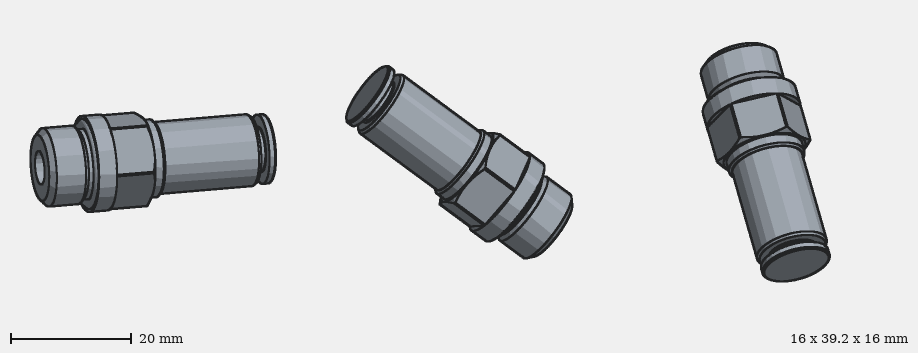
import cadquery as cq
import math


thread_radius = 6.55
bore_radius = 2.8
flange_radius = 8.0
collar_radius = 6.5
body_radius = 6.0
neck_radius = 3.65
lip_radius = 4.1
release_radius = 5.78

thread_end = 6.05
flange_start = 7.9
hex_start = 11.0
hex_end = 17.95
collar_end = 19.9
body_end = 36.62
release_start = 38.0
overall_length = 39.2

thread_chamfer = 1.05
thread_chamfer_length = 1.0
undercut_depth = 0.7
collar_chamfer = 0.4
body_chamfer = 0.35
body_chamfer_length = 0.5
lip_height = 0.06
neck_flare = 0.1
release_chamfer = 0.25
bore_depth = 10.0

seal_outer_radius = 7.53
seal_height = 0.57

across_flats = 14.0
hex_chamfer_angle = 30.0


def revolve_around_y(profile):
    """Turn a closed half profile (X = radius) about the Y axis."""
    return profile.close().revolve(360, (0, 0, 0), (0, 1, 0))


def make_threaded_end():
    """Thread, 45 degree undercut, rounded seal ring and round flange."""
    undercut_radius = thread_radius - undercut_depth
    seal_mid_radius = (undercut_radius + seal_outer_radius) / 2
    profile = (
        cq.Workplane("XY")
        .lineTo(thread_radius - thread_chamfer, 0)
        .lineTo(thread_radius, thread_chamfer_length)
        .lineTo(thread_radius, thread_end)
        .lineTo(undercut_radius, thread_end + undercut_depth)
        .lineTo(undercut_radius, flange_start)
        .threePointArc(
            (seal_mid_radius, flange_start - seal_height),
            (seal_outer_radius, flange_start),
        )
        .lineTo(flange_radius, flange_start)
        .lineTo(flange_radius, hex_start)
        .lineTo(0, hex_start)
    )
    return revolve_around_y(profile)


def make_hexagon():
    """Hexagon with flats facing +/-Z, corners turned down to the flange and chamfered."""
    inner_radius = across_flats / 2
    chamfer_length = (flange_radius - inner_radius) * math.tan(math.radians(hex_chamfer_angle))
    across_corners = across_flats / math.cos(math.pi / 6)
    prism = (
        cq.Workplane("XZ", origin=(0, hex_start, 0))
        .polygon(6, across_corners)
        .extrude(hex_start - hex_end)
    )
    envelope = (
        cq.Workplane("XY")
        .moveTo(0, hex_start)
        .lineTo(flange_radius, hex_start)
        .lineTo(flange_radius, hex_end - chamfer_length)
        .lineTo(inner_radius, hex_end)
        .lineTo(0, hex_end)
    )
    return prism.intersect(revolve_around_y(envelope))


def make_tube_end():
    """Collar, smooth body, lip, neck and release ring."""
    profile = (
        cq.Workplane("XY")
        .moveTo(0, hex_end)
        .lineTo(collar_radius, hex_end)
        .lineTo(collar_radius, collar_end - collar_chamfer)
        .lineTo(collar_radius - collar_chamfer, collar_end)
        .lineTo(body_radius, collar_end)
        .lineTo(body_radius, body_end - body_chamfer_length)
        .lineTo(body_radius - body_chamfer, body_end)
        .lineTo(lip_radius, body_end)
        .lineTo(lip_radius, body_end + lip_height)
        .lineTo(neck_radius, body_end + lip_height)
        .lineTo(neck_radius, release_start - neck_flare)
        .lineTo(neck_radius + neck_flare, release_start)
        .lineTo(release_radius, release_start)
        .lineTo(release_radius, overall_length - release_chamfer)
        .lineTo(release_radius - release_chamfer, overall_length)
        .lineTo(0, overall_length)
    )
    return revolve_around_y(profile)


def make_bore():
    """Blind bore entering from the threaded end face."""
    return cq.Workplane("XZ").circle(bore_radius).extrude(-bore_depth)


result = (
    make_threaded_end()
    .union(make_hexagon())
    .union(make_tube_end())
    .cut(make_bore())
)